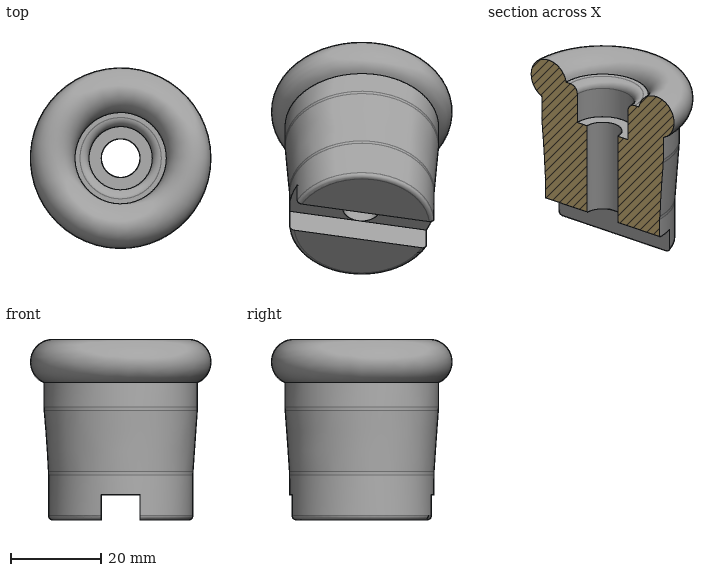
import cadquery as cq
import math

TOTAL_HEIGHT = 40.0
RIM_OUTER_DIAMETER = 40.0
RIM_TUBE_RADIUS = 5.0

UPPER_BODY_RADIUS = 17.0
LOWER_BODY_RADIUS = 16.0
TAPER_TOP_Z = 24.65
TAPER_BOTTOM_Z = 10.35
TAPER_BLEND_RADIUS = 10.0
FOOT_FILLET = 1.0

RECESS_FLOOR_Z = 36.0
BORE_RADIUS = 7.0
BORE_LIP_FILLET = 2.0
BORE_DEPTH = 9.0
THROUGH_HOLE_DIAMETER = 8.5
SLOT_WIDTH = THROUGH_HOLE_DIAMETER
SLOT_HEIGHT = 5.6

RIM_CENTER_RADIUS = RIM_OUTER_DIAMETER / 2 - RIM_TUBE_RADIUS
RIM_CENTER_Z = TOTAL_HEIGHT - RIM_TUBE_RADIUS
BORE_FLOOR_Z = RECESS_FLOOR_Z - BORE_DEPTH
TAPER_ANGLE = math.atan2(UPPER_BODY_RADIUS - LOWER_BODY_RADIUS, TAPER_TOP_Z - TAPER_BOTTOM_Z)
BLEND_SETBACK = TAPER_BLEND_RADIUS * math.tan(TAPER_ANGLE / 2)


def other_leg(hypotenuse, leg):
    """Remaining leg of a right triangle."""
    return math.sqrt(hypotenuse**2 - leg**2)


def make_outer_form():
    """Solid of revolution: rounded foot, blended taper, ring-shaped rim and recessed top."""
    run_in = BLEND_SETBACK * math.sin(TAPER_ANGLE)
    rise = BLEND_SETBACK * math.cos(TAPER_ANGLE)
    rim_bottom_z = RIM_CENTER_Z - other_leg(RIM_TUBE_RADIUS, UPPER_BODY_RADIUS - RIM_CENTER_RADIUS)
    recess_radius = RIM_CENTER_RADIUS - other_leg(RIM_TUBE_RADIUS, RECESS_FLOOR_Z - RIM_CENTER_Z)
    profile = (
        cq.Workplane("XZ")
        .lineTo(LOWER_BODY_RADIUS - FOOT_FILLET, 0)
        .radiusArc((LOWER_BODY_RADIUS, FOOT_FILLET), -FOOT_FILLET)
        .lineTo(LOWER_BODY_RADIUS, TAPER_BOTTOM_Z - BLEND_SETBACK)
        .radiusArc((LOWER_BODY_RADIUS + run_in, TAPER_BOTTOM_Z + rise), TAPER_BLEND_RADIUS)
        .lineTo(UPPER_BODY_RADIUS - run_in, TAPER_TOP_Z - rise)
        .radiusArc((UPPER_BODY_RADIUS, TAPER_TOP_Z + BLEND_SETBACK), -TAPER_BLEND_RADIUS)
        .lineTo(UPPER_BODY_RADIUS, rim_bottom_z)
        .threePointArc((RIM_CENTER_RADIUS, TOTAL_HEIGHT), (recess_radius, RECESS_FLOOR_Z))
        .lineTo(0, RECESS_FLOOR_Z)
        .close()
    )
    return profile.revolve(360, (0, 0, 0), (0, 1, 0))


def make_bore():
    """Stepped bore: rounded lip, wide upper bore and narrow through hole."""
    hole_radius = THROUGH_HOLE_DIAMETER / 2
    lip_bottom_z = RECESS_FLOOR_Z - BORE_LIP_FILLET
    return (
        cq.Workplane("XZ")
        .lineTo(hole_radius, 0)
        .lineTo(hole_radius, BORE_FLOOR_Z)
        .lineTo(BORE_RADIUS, BORE_FLOOR_Z)
        .lineTo(BORE_RADIUS, lip_bottom_z)
        .radiusArc((BORE_RADIUS + BORE_LIP_FILLET, RECESS_FLOOR_Z), BORE_LIP_FILLET)
        .lineTo(0, RECESS_FLOOR_Z)
        .close()
        .revolve(360, (0, 0, 0), (0, 1, 0))
    )


def make_slot():
    """Slot across the foot, running along Y through both sides."""
    slot_length = 2 * UPPER_BODY_RADIUS
    return cq.Workplane("XY").box(SLOT_WIDTH, slot_length, SLOT_HEIGHT, centered=(True, True, False))


result = make_outer_form().cut(make_bore()).cut(make_slot())